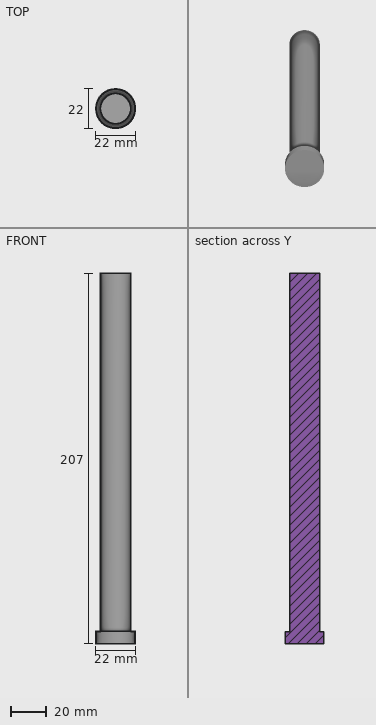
import cadquery as cq

total_length = 207.0
head_diameter = 22.0
head_height = 7.0
shank_diameter = 17.0

head = cq.Workplane("XY").circle(head_diameter / 2).extrude(head_height)
shank = cq.Workplane("XY").circle(shank_diameter / 2).extrude(total_length)

result = head.union(shank)